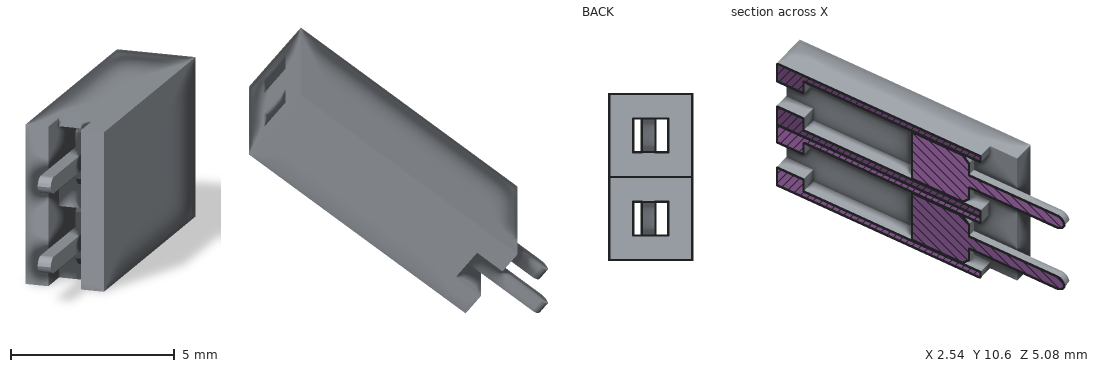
import cadquery as cq

total_length = 10.59
module_count = 2
module_size = 2.54
tail_projection = 2.1
notch_depth = 1.0
slot_width = 1.06
bridge_thickness = 0.26
rear_opening_height = 1.03
rear_wall = 1.0

contact_thickness = 0.42
contact_offset = 0.06
tail_height = 0.52
tip_length = 0.26
shoulder_mid_setback = 0.12
shoulder_mid_height = 0.19
point_length = 0.04
point_half_height = 0.1
head_length = 2.12
head_height = 1.97
head_setback = 0.42
head_chamfer = 0.24

housing_length = total_length - tail_projection
cavity_height = module_size - 2 * bridge_thickness
cavity_length = housing_length - notch_depth - rear_wall
head_front_y = notch_depth + head_setback


def box_from_front(width, length, height, front_y):
    """Box centred on X and Z, running to +Y from front_y."""
    return cq.Workplane("XY").box(width, length, height, centered=(True, False, True)).translate(
        (0, front_y, 0)
    )


def make_housing():
    """Square housing with a front notch, a contact cavity and a rear opening."""
    body = box_from_front(module_size, housing_length, module_size, 0)
    notch = box_from_front(slot_width, notch_depth, module_size, 0)
    cavity = box_from_front(slot_width, cavity_length, cavity_height, notch_depth)
    rear_opening = box_from_front(
        slot_width, rear_wall, rear_opening_height, housing_length - rear_wall
    )
    return body.cut(notch).cut(cavity).cut(rear_opening)


def make_tail():
    """Flat tail whose tip has two rounded shoulders and a shallow central point."""
    tip_y = -tail_projection
    root_y = head_front_y + head_length
    half_height = tail_height / 2
    profile = (
        cq.Workplane("YZ")
        .moveTo(root_y, half_height)
        .lineTo(tip_y + tip_length, half_height)
        .threePointArc(
            (tip_y + shoulder_mid_setback, shoulder_mid_height),
            (tip_y + point_length, point_half_height),
        )
        .lineTo(tip_y, 0)
        .lineTo(tip_y + point_length, -point_half_height)
        .threePointArc(
            (tip_y + shoulder_mid_setback, -shoulder_mid_height),
            (tip_y + tip_length, -half_height),
        )
        .lineTo(root_y, -half_height)
        .close()
    )
    return profile.extrude(contact_thickness / 2, both=True)


def make_contact():
    """Flat contact: a chamfered head in the cavity and a tail with a shaped tip."""
    head = box_from_front(contact_thickness, head_length, head_height, head_front_y)
    head = head.faces("<Y").edges("|X").chamfer(head_chamfer)
    return head.union(make_tail()).translate((contact_offset, 0, 0))


bodies = []
for index in range(module_count):
    height = (index - (module_count - 1) / 2) * module_size
    housing = make_housing().translate((0, 0, height))
    contact = make_contact().translate((0, 0, height))
    bodies.append(housing.val())
    bodies.append(contact.val())

result = cq.Compound.makeCompound(bodies)